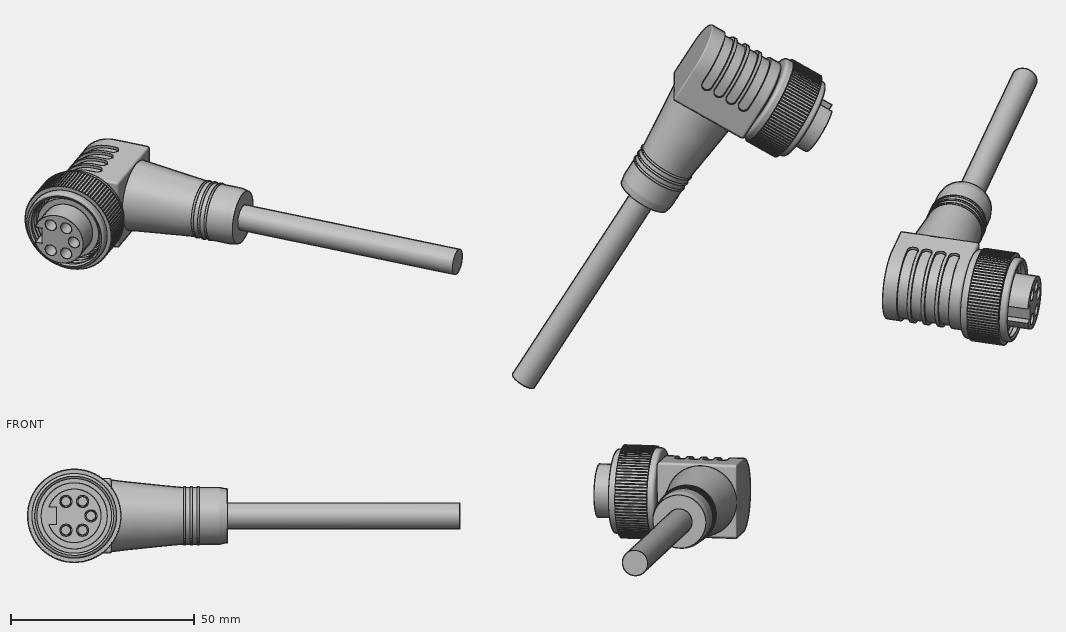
import cadquery as cq
import math


body_radius = 10.21
body_back_y = 9.8
body_front_y = -12.4
edge_radius = 0.7
back_edge_radius = 0.4

slot_count = 4
slot_width = 3.0
slot_depth = 0.77
slot_pitch = 3.9
slot_first_y = 4.2
slot_tip_x = 3.2

sleeve_root_radius = 9.8
sleeve_radius = 7.8
cone_end_x = 29.3
sleeve_end_x = 41.8
sleeve_chamfer_length = 2.1
sleeve_chamfer_depth = 0.41
ridge_positions = (30.1, 32.0, 33.9)
ridge_radius = 0.4
ridge_height = 0.2

cable_radius = 3.5
cable_end_x = 105.3

nut_back_y = -12.6
nut_knurl_back_y = -14.8
nut_knurl_front_y = -23.6
nut_front_y = -25.7
nut_radius = 12.7
nut_back_radius = 12.3
nut_back_edge_radius = 1.0
nut_front_radius = 11.6
nut_front_edge_radius = 0.7
knurl_count = 90
knurl_groove_width = 0.2
knurl_depth = 0.1
nut_bore_radius = 10.21
nut_wall_front_y = -16.5
nut_mouth_chamfer = 0.6
nut_mouth_chamfer_length = 0.4
nut_mouth_land = 0.6
thread_depth = 0.4
thread_pitch = 1.5
thread_groove_count = 4

insert_radius = 7.3
insert_front_y = -30.5
shoulder_radius = 9.03
shoulder_front_y = -23.7
insert_back_y = -9.5
key_floor_x = -4.8
key_width = 4.7
socket_circle_radius = 4.55
socket_mouth_radius = 1.7
socket_mouth_depth = 4.7
socket_radius = 1.3
socket_depth = 9.5
socket_angles = (-120, -60, 0, 60, 120)


def polar_point(radius, angle):
    """Point at an angle in degrees, in the plane across the connector axis."""
    return (radius * math.cos(math.radians(angle)), radius * math.sin(math.radians(angle)))


def turned_about_y(profile):
    """Revolve a closed (radius, y) profile about the Y axis."""
    return cq.Workplane("XY").polyline(profile).close().revolve(360, (0, 0, 0), (0, 1, 0))


def turned_about_x(profile):
    """Revolve a closed (x, radius) profile about the X axis."""
    return cq.Workplane("XY").polyline(profile).close().revolve(360, (0, 0, 0), (1, 0, 0))


def cylinder_y(radius, y_front, y_back):
    """Cylinder about the Y axis between two Y positions."""
    return cq.Workplane("XZ", origin=(0, y_back, 0)).circle(radius).extrude(y_back - y_front)


def d_prism(radius, right_x, y_front, y_back):
    """Half-round prism along Y: rounded on the left, square on the right."""
    return (
        cq.Workplane("XZ", origin=(0, y_back, 0))
        .moveTo(right_x, radius)
        .lineTo(0, radius)
        .threePointArc((-radius, 0), (0, -radius))
        .lineTo(right_x, -radius)
        .close()
        .extrude(y_back - y_front)
    )


def make_grip_slot(center_y):
    """Band cut around the rounded side, with rounded tips on the two flats."""
    y_front = center_y - slot_width / 2
    y_back = center_y + slot_width / 2
    tip_center_x = slot_tip_x - slot_width / 2
    outer_radius = body_radius + 1.2
    plan_outline = (
        cq.Workplane("XY", origin=(0, center_y, -outer_radius))
        .moveTo(-outer_radius, -slot_width / 2)
        .lineTo(tip_center_x, -slot_width / 2)
        .threePointArc((slot_tip_x, 0), (tip_center_x, slot_width / 2))
        .lineTo(-outer_radius, slot_width / 2)
        .close()
        .extrude(2 * outer_radius)
    )
    core = d_prism(body_radius - slot_depth, body_radius, y_front, y_back)
    return plan_outline.cut(core)


def make_sleeve():
    """Tapered cable sleeve with three ridges and a chamfered end."""
    sleeve_start_x = body_radius - edge_radius
    sleeve = turned_about_x(
        [
            (sleeve_start_x, 0),
            (sleeve_start_x, sleeve_root_radius),
            (body_radius, sleeve_root_radius),
            (cone_end_x, sleeve_radius),
            (sleeve_end_x - sleeve_chamfer_length, sleeve_radius),
            (sleeve_end_x, sleeve_radius - sleeve_chamfer_depth),
            (sleeve_end_x, 0),
        ]
    )
    ridge_circle_radius = sleeve_radius + ridge_height - ridge_radius
    for ridge_x in ridge_positions:
        ridge = cq.Solid.makeTorus(ridge_circle_radius, ridge_radius, cq.Vector(ridge_x, 0, 0), cq.Vector(1, 0, 0))
        sleeve = sleeve.union(cq.Workplane(ridge))
    return sleeve


def make_housing():
    block = d_prism(body_radius, body_radius, body_front_y, body_back_y)
    block = block.faces("<Y or >X").edges("not >Y").fillet(edge_radius)
    block = block.faces(">Y").edges().fillet(back_edge_radius)
    housing = block.union(make_sleeve())
    for index in range(slot_count):
        housing = housing.cut(make_grip_slot(slot_first_y - index * slot_pitch))
    housing = housing.cut(cylinder_y(shoulder_radius, body_front_y, insert_back_y))
    cable_hole = cq.Workplane("YZ", origin=(body_radius, 0, 0)).circle(cable_radius)
    return housing.cut(cable_hole.extrude(sleeve_end_x - body_radius))


def make_cable():
    outline = cq.Workplane("YZ", origin=(body_radius, 0, 0)).circle(cable_radius)
    return outline.extrude(cable_end_x - body_radius)


def knurled_ring():
    """Ring with narrow V grooves along Y around its outside."""
    tooth_pitch = 360 / knurl_count
    groove_half = math.degrees(knurl_groove_width / nut_radius) / 2
    outline = cq.Workplane("XZ", origin=(0, nut_knurl_back_y, 0))
    outline = outline.moveTo(*polar_point(nut_radius, groove_half))
    for index in range(knurl_count):
        land_middle = (index + 0.5) * tooth_pitch
        groove_middle = (index + 1) * tooth_pitch
        outline = outline.threePointArc(
            polar_point(nut_radius, land_middle),
            polar_point(nut_radius, groove_middle - groove_half),
        )
        outline = outline.lineTo(*polar_point(nut_radius - knurl_depth, groove_middle))
        outline = outline.lineTo(*polar_point(nut_radius, groove_middle + groove_half))
    return outline.close().extrude(nut_knurl_back_y - nut_knurl_front_y)


def make_nut():
    back_collar = cylinder_y(nut_back_radius, nut_knurl_back_y, nut_back_y)
    back_collar = back_collar.faces(">Y").edges().fillet(nut_back_edge_radius)
    front_collar = cylinder_y(nut_front_radius, nut_front_y, nut_knurl_front_y)
    front_collar = front_collar.faces("<Y").edges().fillet(nut_front_edge_radius)
    nut = knurled_ring().union(back_collar).union(front_collar)
    bore = [
        (0, nut_back_y),
        (shoulder_radius, nut_back_y),
        (shoulder_radius, nut_wall_front_y),
        (nut_bore_radius, nut_wall_front_y),
    ]
    thread_start_y = nut_front_y + nut_mouth_chamfer_length + nut_mouth_land + thread_groove_count * thread_pitch
    for index in range(thread_groove_count):
        groove_y = thread_start_y - index * thread_pitch
        bore.append((nut_bore_radius, groove_y))
        bore.append((nut_bore_radius + thread_depth, groove_y - thread_pitch / 2))
    bore.append((nut_bore_radius, nut_front_y + nut_mouth_chamfer_length))
    bore.append((nut_bore_radius + nut_mouth_chamfer, nut_front_y))
    bore.append((0, nut_front_y))
    return nut.cut(turned_about_y(bore))


def make_socket_bore():
    """Blind contact bore, narrower behind a step, centred on the Y axis."""
    step_y = insert_front_y + socket_mouth_depth
    end_y = insert_front_y + socket_depth
    return turned_about_y(
        [
            (0, insert_front_y),
            (socket_mouth_radius, insert_front_y),
            (socket_mouth_radius, step_y),
            (socket_radius, step_y),
            (socket_radius, end_y),
            (0, end_y),
        ]
    )


def make_insert():
    insert = cylinder_y(insert_radius, insert_front_y, insert_back_y)
    insert = insert.union(cylinder_y(shoulder_radius, shoulder_front_y, insert_back_y))
    key_length = shoulder_front_y - insert_front_y
    keyway = cq.Workplane("XY").box(insert_radius, key_length, key_width, centered=(True, False, True))
    insert = insert.cut(keyway.translate((key_floor_x - insert_radius / 2, insert_front_y, 0)))
    for angle in socket_angles:
        x, z = polar_point(socket_circle_radius, angle)
        insert = insert.cut(make_socket_bore().translate((x, 0, z)))
    return insert


housing = make_housing()
cable = make_cable()
nut = make_nut()
insert = make_insert()

result = cq.Compound.makeCompound([housing.val(), cable.val(), nut.val(), insert.val()])